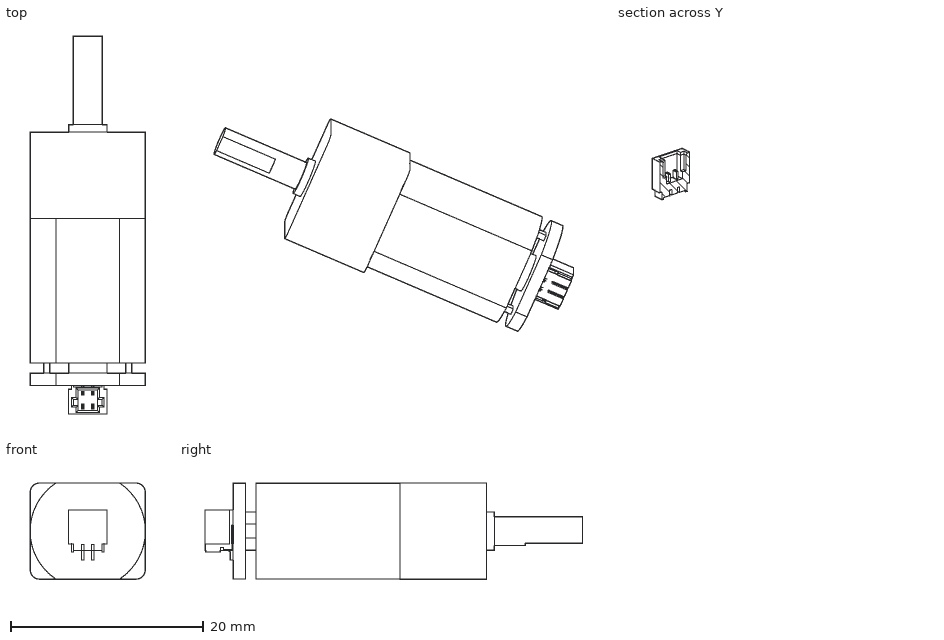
import cadquery as cq

WIDTH = 12.0
HEIGHT = 10.0
FLATS_HEIGHT = 9.98
CORNER_RADIUS = 1.0

CONNECTOR_DEPTH = 2.95
CAP_THICKNESS = 1.3
CAP_GAP = 1.05
CAN_LENGTH = 15.0
GEARBOX_LENGTH = 9.0
SHAFT_REACH = 9.98

CAN_REAR = CAP_THICKNESS + CAP_GAP
GEARBOX_REAR = CAN_REAR + CAN_LENGTH
GEARBOX_FRONT = GEARBOX_REAR + GEARBOX_LENGTH
SHAFT_TIP = GEARBOX_FRONT + SHAFT_REACH

BOSS_DIAMETER = 4.0
FRONT_BOSS_LENGTH = 0.8
SHAFT_DIAMETER = 3.02
FLAT_LENGTH = 5.97
FLAT_DEPTH = 0.25

TERMINAL_SPACING = 8.52
TERMINAL_THICKNESS = 0.63
TERMINAL_HEIGHT = 1.5

SHELL_WIDTH = 4.0
SHELL_TOP = 2.2
SHELL_BOTTOM = -1.35
SHELL_BACK = 0.35
CORE_WIDTH = 2.95
CORE_BACK = 0.1
CORE_BOTTOM = -2.05

RIB_THICKNESS = 0.25
FOOT_BOTTOM = 0.6
SKIRT_FRONT = 2.85
SKIRT_STEP = 1.35
SKIRT_BOTTOM = -2.2
SKIRT_REAR_BOTTOM = -1.92
NOTCH_BACK = 1.02
NOTCH_TOP = -1.73

SOCKET_WIDTH = 2.05
SOCKET_BACK = 0.45
SOCKET_FRONT = 2.6
SOCKET_DEPTH = 2.75
KEY_SPAN = 3.0
KEY_BACK = 1.4
KEY_FRONT = 2.05
KEY_DEPTH = 1.95
LEAD_IN = 0.2

CONTACT_PITCH = 1.02
CONTACT_WIDTH = 0.25
PRONG_TIP = 0.4
REAR_PRONG = (0.63, 1.0)
FRONT_PRONG = (1.92, 2.45)
TIP_CHAMFER = 0.08
TAIL_THICKNESS = 0.3
TAIL_END = -3.02
TAIL_BEND_RADIUS = 0.2
SLOT_BACK = 1.18
SLOT_TOP = -1.4


def box(x_range, y_range, z_range):
    """Box between the given pairs of limits."""
    (x0, x1), (y0, y1), (z0, z1) = x_range, y_range, z_range
    return cq.Workplane("XY").box(x1 - x0, y1 - y0, z1 - z0, centered=False).translate((x0, y0, z0))


def outward(back, front):
    """Y limits of a connector feature from its depths beyond the end cap."""
    return (-front, -back)


def centered(width, middle=0.0):
    """Limits of a width centred on the given place."""
    return (middle - width / 2, middle + width / 2)


def cylinder(diameter, start, end):
    """Cylinder on the motor axis between two Y stations."""
    return cq.Workplane("XZ", origin=(0, end, 0)).circle(diameter / 2).extrude(end - start)


def flatted_round(start, end):
    """Round of the full width, cut flat at the top and bottom."""
    flats = box(centered(WIDTH), (start, end), centered(FLATS_HEIGHT))
    return cylinder(WIDTH, start, end).intersect(flats)


def make_shaft():
    shaft = cylinder(SHAFT_DIAMETER, GEARBOX_FRONT, SHAFT_TIP)
    underside = -SHAFT_DIAMETER / 2
    flat = box(
        centered(SHAFT_DIAMETER),
        (SHAFT_TIP - FLAT_LENGTH, SHAFT_TIP),
        (underside, underside + FLAT_DEPTH),
    )
    return shaft.cut(flat)


def make_motor():
    gearbox = box(centered(WIDTH), (GEARBOX_REAR, GEARBOX_FRONT), centered(HEIGHT))
    motor = gearbox.edges("|Y").fillet(CORNER_RADIUS)
    motor = motor.union(flatted_round(CAN_REAR, GEARBOX_REAR))
    motor = motor.union(flatted_round(0, CAP_THICKNESS))
    motor = motor.union(cylinder(BOSS_DIAMETER, CAP_THICKNESS, CAN_REAR))
    motor = motor.union(cylinder(BOSS_DIAMETER, GEARBOX_FRONT, GEARBOX_FRONT + FRONT_BOSS_LENGTH))
    motor = motor.union(make_shaft())
    for side in (-1, 1):
        terminal = box(
            centered(TERMINAL_THICKNESS, side * TERMINAL_SPACING / 2),
            (CAP_THICKNESS, CAN_REAR),
            centered(TERMINAL_HEIGHT),
        )
        motor = motor.union(terminal)
    return motor


def make_side_rib(side):
    """Foot and notched skirt on one side of the connector."""
    middle = side * (CORE_WIDTH + RIB_THICKNESS) / 2
    foot = box(centered(RIB_THICKNESS, middle), outward(0, SHELL_BACK), (FOOT_BOTTOM, SHELL_TOP))
    skirt = (
        cq.Workplane("YZ", origin=(middle, 0, 0))
        .moveTo(-CORE_BACK, SHELL_TOP)
        .lineTo(-CORE_BACK, SKIRT_REAR_BOTTOM)
        .lineTo(-NOTCH_BACK, SKIRT_REAR_BOTTOM)
        .lineTo(-NOTCH_BACK, NOTCH_TOP)
        .lineTo(-SKIRT_STEP, NOTCH_TOP)
        .lineTo(-SKIRT_STEP, SKIRT_BOTTOM)
        .lineTo(-SKIRT_FRONT, SKIRT_BOTTOM)
        .lineTo(-SKIRT_FRONT, SHELL_TOP)
        .close()
        .extrude(RIB_THICKNESS / 2, both=True)
    )
    return foot.union(skirt)


def lead_in(width, back, front):
    """Tapered mouth that narrows to the given rectangle over the lead-in depth."""
    return (
        cq.Workplane("XY", origin=(0, -(back + front) / 2, SHELL_TOP))
        .rect(width + 2 * LEAD_IN, front - back + 2 * LEAD_IN)
        .workplane(offset=-LEAD_IN)
        .rect(width, front - back)
        .loft()
    )


def make_socket():
    """Space for the plug: a main well, a shallower keyway across it and tapered mouths."""
    well_heights = (SHELL_TOP - SOCKET_DEPTH, SHELL_TOP)
    well = box(centered(SOCKET_WIDTH), outward(SOCKET_BACK, SOCKET_FRONT), well_heights)
    keyway = box(centered(KEY_SPAN), outward(KEY_BACK, KEY_FRONT), (SHELL_TOP - KEY_DEPTH, SHELL_TOP))
    socket = well.union(keyway)
    socket = socket.union(lead_in(SOCKET_WIDTH, SOCKET_BACK, SOCKET_FRONT))
    return socket.union(lead_in(KEY_SPAN, KEY_BACK, KEY_FRONT))


def make_tail(x):
    """Solder tail lying on the end cap, flared by a rounded bend where it leaves the core."""
    return (
        cq.Workplane("YZ", origin=(x, 0, 0))
        .moveTo(0, TAIL_END)
        .lineTo(0, SHELL_BOTTOM)
        .lineTo(-TAIL_THICKNESS - TAIL_BEND_RADIUS, SHELL_BOTTOM)
        .lineTo(-TAIL_THICKNESS - TAIL_BEND_RADIUS, CORE_BOTTOM)
        .radiusArc((-TAIL_THICKNESS, CORE_BOTTOM - TAIL_BEND_RADIUS), TAIL_BEND_RADIUS)
        .lineTo(-TAIL_THICKNESS, TAIL_END)
        .close()
        .extrude(CONTACT_WIDTH / 2, both=True)
    )


def make_prong(x, back, front):
    """Pointed contact prong standing on the socket floor."""
    prong = box(
        centered(CONTACT_WIDTH, x),
        outward(back, front),
        (SHELL_TOP - SOCKET_DEPTH, PRONG_TIP),
    )
    return prong.faces(">Z").chamfer(TIP_CHAMFER)


def make_connector():
    shell = box(centered(SHELL_WIDTH), outward(SHELL_BACK, CONNECTOR_DEPTH), (SHELL_BOTTOM, SHELL_TOP))
    core = box(centered(CORE_WIDTH), outward(CORE_BACK, CONNECTOR_DEPTH), (CORE_BOTTOM, SHELL_TOP))
    connector = shell.union(core)
    for side in (-1, 1):
        connector = connector.union(make_side_rib(side))
    connector = connector.cut(make_socket())
    for side in (-1, 1):
        x = side * CONTACT_PITCH / 2
        slot = box(centered(CONTACT_WIDTH, x), outward(SLOT_BACK, CONNECTOR_DEPTH), (CORE_BOTTOM, SLOT_TOP))
        connector = connector.cut(slot)
        connector = connector.union(make_tail(x))
        for back, front in (REAR_PRONG, FRONT_PRONG):
            connector = connector.union(make_prong(x, back, front))
    return connector


motor = make_motor()
connector = make_connector()

result = cq.Compound.makeCompound([motor.solids().val(), connector.solids().val()])